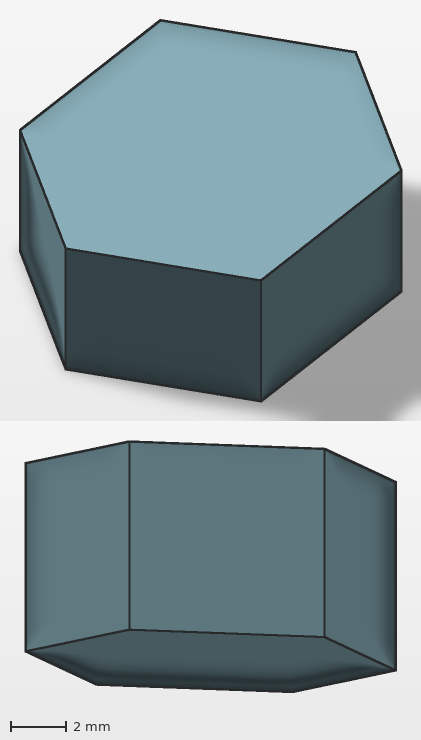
import cadquery as cq

width_x = 12.7
depth_y = 12.7
height = 6.93
flat_length = 5.78

half_width = width_x / 2
half_depth = depth_y / 2
half_flat = flat_length / 2

outline = [
    (half_width, 0),
    (half_flat, half_depth),
    (-half_flat, half_depth),
    (-half_width, 0),
    (-half_flat, -half_depth),
    (half_flat, -half_depth),
]

result = cq.Workplane("XY").polyline(outline).close().extrude(height)